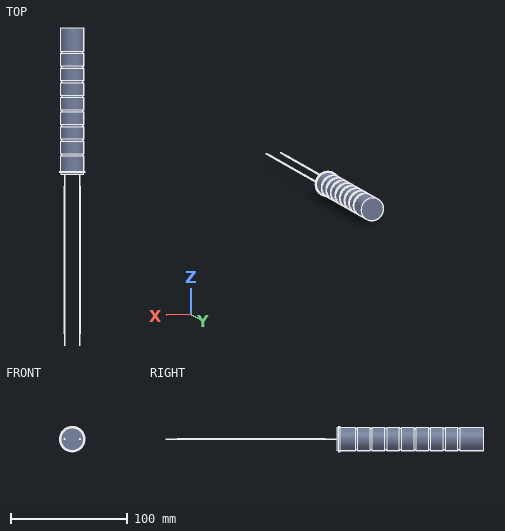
import cadquery as cq

overall_length = 273.0
back_y = overall_length / 2
tip_y = -overall_length / 2

barrel_radius = 10.0
barrel_length = 123.4
barrel_front_y = back_y - barrel_length

groove_count = 8
groove_radius = 0.95
groove_span = 88.0
groove_pitch = groove_span / (groove_count - 1)
first_groove_from_back = 21.3

flange_radius = 11.0
flange_thickness = 1.0
boss_radius = 9.8
boss_thickness = 1.6
flange_front_y = barrel_front_y - flange_thickness
boss_front_y = flange_front_y - boss_thickness

wire_radius = 0.3
insulation_radius = 0.4
bare_length = 10.0
lead_offset = 6.5


def disc(radius, start_y, end_y, center_x=0.0):
    """Round bar along Y, running from start_y towards -Y as far as end_y."""
    plane = cq.Workplane("XZ", origin=(center_x, start_y, 0))
    return plane.circle(radius).extrude(start_y - end_y)


def make_barrel():
    """Solid of revolution about Y whose outline dips into half-round grooves."""
    outline = cq.Workplane("YZ").moveTo(back_y, 0).lineTo(back_y, barrel_radius)
    for index in range(groove_count):
        center_y = back_y - first_groove_from_back - index * groove_pitch
        outline = outline.lineTo(center_y + groove_radius, barrel_radius)
        outline = outline.threePointArc(
            (center_y, barrel_radius - groove_radius),
            (center_y - groove_radius, barrel_radius),
        )
    outline = outline.lineTo(barrel_front_y, barrel_radius).lineTo(barrel_front_y, 0).close()
    return outline.revolve(360, (0, 0, 0), (1, 0, 0))


def make_lead(center_x):
    """One wire, rooted in the boss, with its thicker insulated middle."""
    wire = disc(wire_radius, flange_front_y, tip_y, center_x)
    insulation = disc(insulation_radius, boss_front_y - bare_length, tip_y + bare_length, center_x)
    return wire.union(insulation)


def make_end_cap():
    """Flange and smaller boss, made in one piece with the two leads."""
    cap = disc(flange_radius, barrel_front_y, flange_front_y)
    cap = cap.union(disc(boss_radius, flange_front_y, boss_front_y))
    for side in (-1, 1):
        cap = cap.union(make_lead(side * lead_offset))
    return cap


barrel = make_barrel()
end_cap = make_end_cap()

result = cq.Compound.makeCompound([barrel.val(), end_cap.val()])